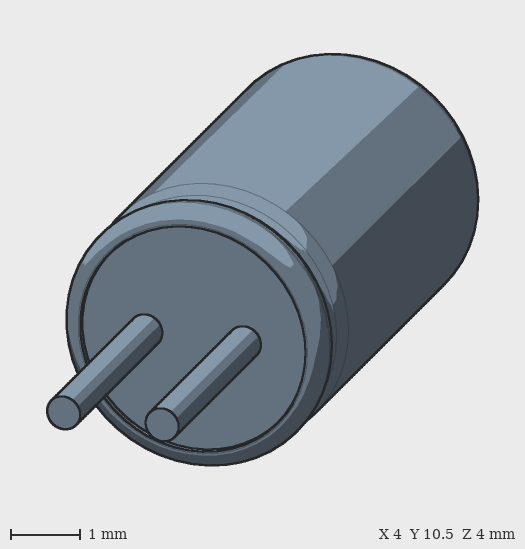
import cadquery as cq

can_radius = 4.0 / 2
can_length = 7.0
rim_fillet = 0.25
top_fillet = 0.3

groove_center = 0.67
groove_depth = 0.14
shoulder_span = 0.26
valley_span = 0.27

seal_radius = 3.43 / 2
seal_recess = 0.1

total_length = 10.5
lead_radius = 0.5 / 2
lead_spacing = 1.5
lead_length = total_length - can_length


def make_can():
    """Revolve the half profile of the crimped can about the Y axis."""
    half_valley = valley_span / 2
    shoulder_drop = groove_depth * shoulder_span / (shoulder_span + half_valley)
    bend_radius = can_radius - shoulder_drop
    valley_radius = can_radius - groove_depth
    lower_bend = groove_center - half_valley
    upper_bend = groove_center + half_valley
    groove_start = lower_bend - shoulder_span
    groove_end = upper_bend + shoulder_span
    return (
        cq.Workplane("XY")
        .lineTo(can_radius - rim_fillet, 0)
        .radiusArc((can_radius, rim_fillet), -rim_fillet)
        .lineTo(can_radius, groove_start)
        .tangentArcPoint((bend_radius, lower_bend), relative=False)
        .threePointArc((valley_radius, groove_center), (bend_radius, upper_bend))
        .tangentArcPoint((can_radius, groove_end), relative=False)
        .lineTo(can_radius, can_length - top_fillet)
        .radiusArc((can_radius - top_fillet, can_length), -top_fillet)
        .lineTo(0, can_length)
        .close()
        .revolve(360, (0, 0, 0), (0, 1, 0))
    )


def make_seal_recess():
    """Shallow disc cut into the open end, down to the face of the seal."""
    return cq.Workplane("XZ").circle(seal_radius).extrude(-seal_recess)


def make_leads():
    """Two round leads running from the seal face towards -Y."""
    half_spacing = lead_spacing / 2
    return (
        cq.Workplane("XZ", origin=(0, seal_recess, 0))
        .pushPoints([(-half_spacing, 0), (half_spacing, 0)])
        .circle(lead_radius)
        .extrude(lead_length + seal_recess)
    )


result = make_can().cut(make_seal_recess()).union(make_leads())